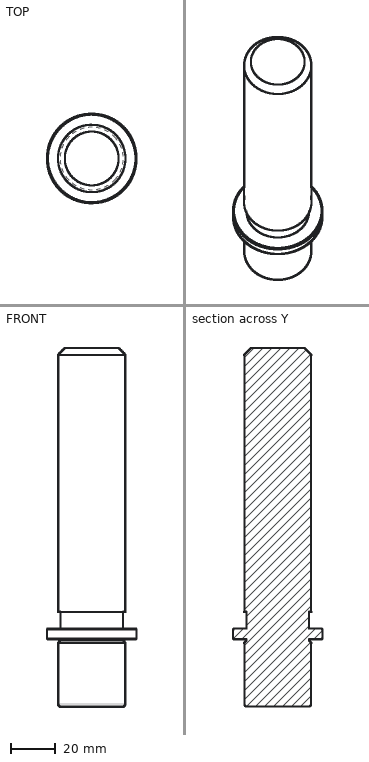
import cadquery as cq

total_length = 160.0
pin_diameter = 30.0
neck_diameter = 28.0

collar_diameter = 40.0
collar_thickness = 5.0
collar_bottom = 30.0
collar_top = collar_bottom + collar_thickness
collar_chamfer = 0.5

neck_length = 7.4
shank_bottom = collar_top + neck_length

relief_height = 0.5
foot_top = collar_bottom - relief_height

tip_chamfer = 3.0
foot_fillet = 1.5
shoulder_chamfer = (pin_diameter - neck_diameter) / 2


def cylinder(diameter, bottom, top):
    """Round section standing on the Z axis between two heights."""
    return cq.Workplane("XY").workplane(offset=bottom).circle(diameter / 2).extrude(top - bottom)


foot = cylinder(pin_diameter, 0, foot_top)
foot = foot.faces("<Z").fillet(foot_fillet)
foot = foot.faces(">Z").chamfer(shoulder_chamfer)

relief = cylinder(neck_diameter, foot_top, collar_bottom)

collar = cylinder(collar_diameter, collar_bottom, collar_top).edges().chamfer(collar_chamfer)

neck = cylinder(neck_diameter, collar_top, shank_bottom)

shank = cylinder(pin_diameter, shank_bottom, total_length).faces(">Z").chamfer(tip_chamfer)

result = foot.union(relief).union(collar).union(neck).union(shank)